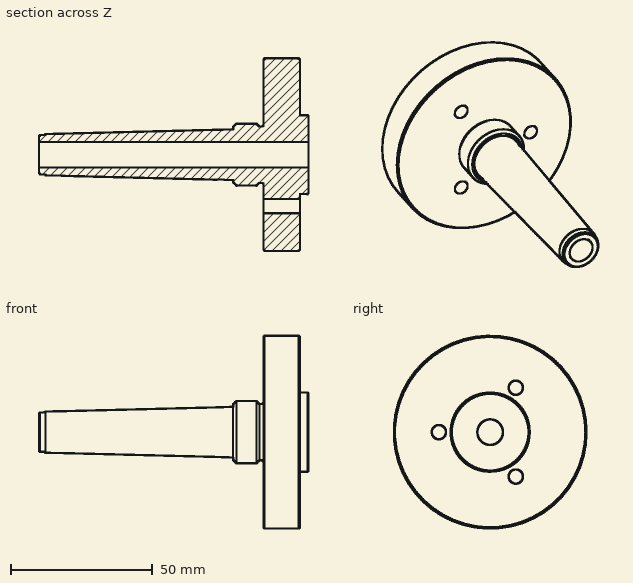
import cadquery as cq
import math

total_length = 95.15
taper_start_x = 2.4
collar_start_x = 68.5
neck_start_x = 77.7
flange_start_x = 79.2
flange_end_x = 92.1

flange_diameter = 68.0
pilot_diameter = 28.0
collar_diameter = 22.0
neck_diameter = 20.0
taper_large_diameter = 18.0
taper_small_diameter = 14.7
nose_diameter = 14.0
bore_diameter = 8.9

edge_chamfer = 0.5
collar_chamfer = 1.1
root_fillet = 0.6

hole_count = 3
hole_diameter = 4.95
hole_circle_radius = 18.1
first_hole_angle = 180.0


def turned_body():
    """Revolve the outer half profile, (x, radius), about the X axis."""
    nose_radius = nose_diameter / 2
    taper_small_radius = taper_small_diameter / 2
    collar_radius = collar_diameter / 2
    neck_radius = neck_diameter / 2
    flange_radius = flange_diameter / 2
    pilot_radius = pilot_diameter / 2
    neck_bevel = collar_radius - neck_radius

    nose_step = taper_small_radius - nose_radius
    nose_arc_run = math.sqrt(root_fillet**2 - (root_fillet - nose_step) ** 2)
    nose_arc_start = (taper_start_x - nose_arc_run, nose_radius)

    neck_arc_start = (flange_start_x - root_fillet, neck_radius)
    neck_arc_end = (flange_start_x, neck_radius + root_fillet)

    return (
        cq.Workplane("XY")
        .moveTo(0, 0)
        .lineTo(0, nose_radius - edge_chamfer)
        .lineTo(edge_chamfer, nose_radius)
        .lineTo(*nose_arc_start)
        .tangentArcPoint((taper_start_x, taper_small_radius), relative=False)
        .lineTo(collar_start_x, taper_large_diameter / 2)
        .lineTo(collar_start_x, collar_radius - collar_chamfer)
        .lineTo(collar_start_x + collar_chamfer, collar_radius)
        .lineTo(neck_start_x - neck_bevel, collar_radius)
        .lineTo(neck_start_x, neck_radius)
        .lineTo(*neck_arc_start)
        .tangentArcPoint(neck_arc_end, relative=False)
        .lineTo(flange_start_x, flange_radius - edge_chamfer)
        .lineTo(flange_start_x + edge_chamfer, flange_radius)
        .lineTo(flange_end_x - edge_chamfer, flange_radius)
        .lineTo(flange_end_x, flange_radius - edge_chamfer)
        .lineTo(flange_end_x, pilot_radius)
        .lineTo(total_length - edge_chamfer, pilot_radius)
        .lineTo(total_length, pilot_radius - edge_chamfer)
        .lineTo(total_length, 0)
        .close()
        .revolve(360, (0, 0, 0), (1, 0, 0))
    )


def axial_bore():
    """Through bore along the turning axis."""
    return cq.Workplane("YZ").circle(bore_diameter / 2).extrude(total_length)


def mounting_holes():
    """Equally spaced holes through the flange."""
    return (
        cq.Workplane("YZ", origin=(flange_start_x, 0, 0))
        .polarArray(hole_circle_radius, first_hole_angle, 360, hole_count)
        .circle(hole_diameter / 2)
        .extrude(flange_end_x - flange_start_x)
    )


result = turned_body().cut(axial_bore()).cut(mounting_holes())